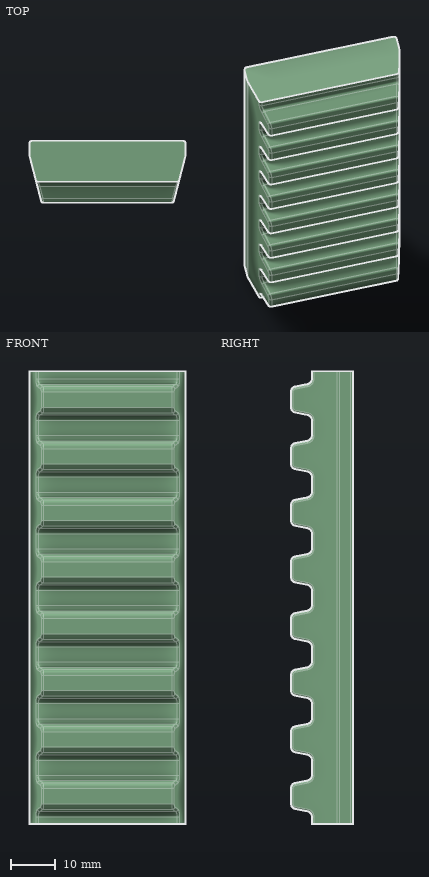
import cadquery as cq
import math

WIDTH = 35.05
THICKNESS = 13.97
LENGTH = 101.6

TOOTH_COUNT = 8
PITCH = LENGTH / TOOTH_COUNT
TOOTH_DEPTH = 4.7
TIP_WIDTH = 5.5
FLANK_ANGLE = 11.0
TIP_RADIUS = 1.27
ROOT_RADIUS = 1.2

STRAIGHT_SIDE = 3.4
TAPER_ANGLE = 14.5
BEND_RADIUS = 2.5
BACK_CORNER_RADIUS = 0.7

SIDE_EDGE_RADIUS = 0.55

BACK_Y = THICKNESS / 2
TIP_Y = -THICKNESS / 2
ROOT_Y = TIP_Y + TOOTH_DEPTH
BEND_Y = BACK_Y - STRAIGHT_SIDE

SELECTION_MARGIN = 0.1


def edges_between(y_low, y_high, z_limit):
    """Selector for edges centred between two Y levels and within +/- z_limit."""
    return cq.selectors.BoxSelector(
        (-WIDTH, y_low - SELECTION_MARGIN, -z_limit),
        (WIDTH, y_high + SELECTION_MARGIN, z_limit),
    )


def make_tapered_bar():
    """Plain bar with the tapered cross section, rounded at its bends and back corners."""
    half_back = WIDTH / 2
    half_tip = half_back - (BEND_Y - TIP_Y) * math.tan(math.radians(TAPER_ANGLE))
    outline = [
        (-half_back, BACK_Y),
        (half_back, BACK_Y),
        (half_back, BEND_Y),
        (half_tip, TIP_Y),
        (-half_tip, TIP_Y),
        (-half_back, BEND_Y),
    ]
    bar = cq.Workplane("XY").polyline(outline).close().extrude(LENGTH / 2, both=True)
    bar = bar.edges("|Z").edges(edges_between(BEND_Y, BEND_Y, LENGTH)).fillet(BEND_RADIUS)
    return bar.edges("|Z and >Y").fillet(BACK_CORNER_RADIUS)


def make_toothed_block():
    """Block as wide as the bar whose -Y face is the row of rounded teeth."""
    half_tip = TIP_WIDTH / 2
    half_root = half_tip + TOOTH_DEPTH * math.tan(math.radians(FLANK_ANGLE))
    outline = [(BACK_Y, -LENGTH / 2), (ROOT_Y, -LENGTH / 2)]
    for index in range(TOOTH_COUNT):
        center_z = (index + 0.5) * PITCH - LENGTH / 2
        outline += [
            (ROOT_Y, center_z - half_root),
            (TIP_Y, center_z - half_tip),
            (TIP_Y, center_z + half_tip),
            (ROOT_Y, center_z + half_root),
        ]
    outline += [(ROOT_Y, LENGTH / 2), (BACK_Y, LENGTH / 2)]
    block = cq.Workplane("YZ").polyline(outline).close().extrude(WIDTH / 2, both=True)

    inside_ends = LENGTH / 2 - SELECTION_MARGIN
    block = block.edges("|X").edges(edges_between(TIP_Y, TIP_Y, inside_ends)).fillet(TIP_RADIUS)
    return block.edges("|X").edges(edges_between(ROOT_Y, ROOT_Y, inside_ends)).fillet(ROOT_RADIUS)


def round_side_edges(body):
    """Round the two wavy edges where the tapered sides meet the toothed face."""
    wavy_edges = body.edges(edges_between(TIP_Y, ROOT_Y, LENGTH)).edges("not |X")
    return wavy_edges.fillet(SIDE_EDGE_RADIUS)


toothed_bar = make_tapered_bar().intersect(make_toothed_block())
result = round_side_edges(toothed_bar)